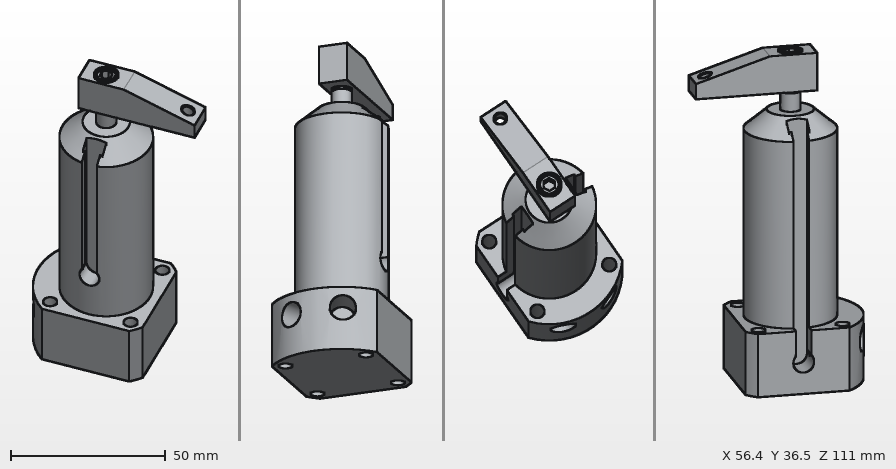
import cadquery as cq
import math


base_radius = 23.8
base_width = 36.5
base_right = 18.5
base_height = 21.4
mount_hole_diameter = 4.5
mount_hole_offset = 14.0

port_diameter = 8.4
port_depth = 11.1
port_height = 14.3
port_angle = 22.5

barrel_radius = 15.2
shoulder_height = 84.7
cone_top_radius = 7.7
barrel_top = 91.1

slot_width = 5.2
slot_inner_width = 6.9
slot_floor = 8.5
slot_lip = 12.0
front_keyhole_height = 37.1
rear_keyhole_height = base_height / 2

rod_diameter = 6.7
rod_shoulder = 97.3
neck_diameter = 6.1
rod_end_chamfer = 0.3
hex_across_flats = 3.7
hex_depth = 3.3

arm_bottom = 98.2
arm_top = 111.0
arm_left = -7.8
arm_right = 32.6
arm_width = 9.8
slope_start = 8.0
tip_top = 103.5
counterbore_diameter = 8.0
counterbore_depth = 0.7
tip_hole_x = 28.4
tip_hole_diameter = 3.8
tip_hole_chamfer = 0.3


def cylinder(diameter, bottom, top):
    return cq.Workplane("XY").workplane(offset=bottom).circle(diameter / 2).extrude(top - bottom)


def make_base():
    """Disc with two flat sides and a flat right end, drilled at four corners."""
    limits = (
        cq.Workplane("XY")
        .box(base_radius + base_right, base_width, base_height, centered=(False, True, False))
        .translate((-base_radius, 0, 0))
    )
    base = cylinder(2 * base_radius, 0, base_height).intersect(limits)
    return (
        base.faces(">Z").workplane(origin=(0, 0, base_height))
        .rect(2 * mount_hole_offset, 2 * mount_hole_offset, forConstruction=True)
        .vertices()
        .hole(mount_hole_diameter)
    )


def make_port(angle):
    """Blind port cutter, aimed at the axis from the given angle off -X."""
    reach = base_radius + 1.1
    inward = cq.Vector(math.cos(math.radians(angle)), math.sin(math.radians(angle)), 0)
    start = inward * -reach + cq.Vector(0, 0, port_height)
    length = port_depth + reach - base_radius
    return cq.Workplane(cq.Solid.makeCylinder(port_diameter / 2, length, start, inward))


def make_barrel():
    return (
        cq.Workplane("XZ")
        .moveTo(0, 0)
        .lineTo(barrel_radius, 0)
        .lineTo(barrel_radius, shoulder_height)
        .lineTo(cone_top_radius, barrel_top)
        .lineTo(0, barrel_top)
        .close()
        .revolve(360, (0, 0), (0, 1))
    )


def make_slot(keyhole_height):
    """Slot cutter on the -Y side, open at the top through the cone."""
    def channel(width, depth_end):
        return (
            cq.Workplane("XZ", origin=(0, -slot_floor, 0))
            .center(0, (keyhole_height + barrel_top) / 2)
            .rect(width, barrel_top - keyhole_height)
            .extrude(depth_end - slot_floor)
        )

    keyhole = (
        cq.Workplane("XZ", origin=(0, -slot_floor, 0))
        .center(0, keyhole_height)
        .circle(slot_inner_width / 2)
        .extrude(base_radius - slot_floor)
    )
    return channel(slot_width, base_radius).union(channel(slot_inner_width, slot_lip)).union(keyhole)


def make_rod():
    """Rod, thin neck and chamfered end with a hexagon socket."""
    rod = cylinder(rod_diameter, barrel_top, rod_shoulder)
    neck = cylinder(neck_diameter, rod_shoulder, arm_bottom)
    end = cylinder(rod_diameter, arm_bottom, arm_top).faces(">Z").chamfer(rod_end_chamfer)
    socket = (
        cq.Workplane("XY")
        .workplane(offset=arm_top - hex_depth)
        .transformed(rotate=(0, 0, 90))
        .polygon(6, hex_across_flats / math.cos(math.pi / 6))
        .extrude(hex_depth)
    )
    return rod.union(neck).union(end).cut(socket)


def make_cylinder_unit():
    body = make_base().union(make_barrel())
    for angle in (-port_angle, port_angle):
        body = body.cut(make_port(angle))
    front_slot = make_slot(front_keyhole_height)
    rear_slot = make_slot(rear_keyhole_height).rotate((0, 0, 0), (0, 0, 1), 180)
    return body.cut(front_slot).cut(rear_slot).union(make_rod())


def make_arm():
    """Tapered arm with a counterbored hole for the rod end and a vertical hole at its tip."""
    arm = (
        cq.Workplane("XZ")
        .moveTo(arm_left, arm_bottom)
        .lineTo(arm_right, arm_bottom)
        .lineTo(arm_right, tip_top)
        .lineTo(slope_start, arm_top)
        .lineTo(arm_left, arm_top)
        .close()
        .extrude(arm_width / 2, both=True)
    )
    rod_bore = cylinder(rod_diameter, arm_bottom, arm_top)
    counterbore = cylinder(counterbore_diameter, arm_top - counterbore_depth, arm_top)
    tip_hole = cylinder(tip_hole_diameter, arm_bottom, arm_top).translate((tip_hole_x, 0, 0))
    arm = arm.cut(rod_bore).cut(counterbore).cut(tip_hole)
    return arm.edges("%ELLIPSE").chamfer(tip_hole_chamfer)


cylinder_unit = make_cylinder_unit()
arm = make_arm()
result = cq.Compound.makeCompound([cylinder_unit.val(), arm.val()])